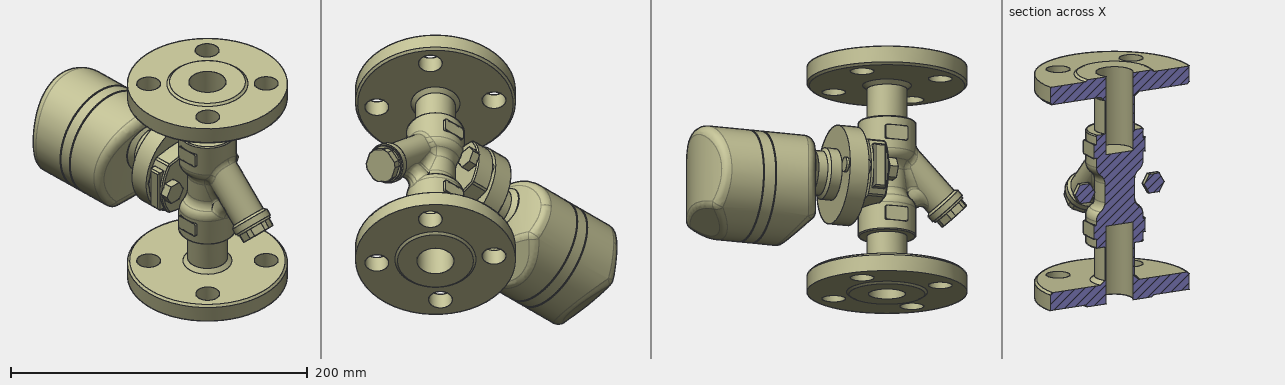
import cadquery as cq
import math


overall_length = 195.3
overall_height = 160.0
half_height = overall_height / 2
flange_dia = 108.0
flange_thickness = 12.7
flange_chamfer = 1.5
raised_face_height = 1.4
raised_face_base_dia = 54.7
raised_face_dia = 51.2
bolt_hole_dia = 16.0
bolt_circle_dia = 79.3
bolt_hole_count = 4
first_bolt_angle = 45.0
weld_neck_dia = 33.0
weld_neck_length = 2.7
pipe_dia = 27.2
bore_dia = 25.0
bore_depth = 54.7

body_dia = 39.0
body_half_height = 39.8
body_edge_chamfer = 0.8
waist_dia = 27.2
waist_half_height = 6.6
waist_center_z = -1.8
waist_blend_height = 12.3
pad_width = 15.8
pad_height = 10.0
pad_center_z = 28.3
pad_face_y = 19.7
pad_corner_radius = 1.4

branch_angle = 45.0
branch_offset = 19.3
branch_start = -branch_offset
branch_dia = 23.0
collar_dia = 27.0
collar_start = 35.7
collar_chamfer_length = 1.8
collar_end = 42.0
lip_dia = 25.0
lip_end = 43.5
plug_end = 49.0
plug_across_flats = 21.7
plug_across_corners = 22.9
branch_blend_radius = 5.5

cover_dia = 67.0
cover_left_x = -38.5
cover_right_x = -25.0
seat_left_x = -23.0
seat_right_x = -10.2
seat_dia = 65.2
seat_crown_z = 22.5
seat_crown_radius = 117.2
seat_chamfer = 1.0
hub_dia = 35.0
hub_left_x = -46.1
hub_cone_length = 1.8
neck_dia = 30.0
neck_left_x = -54.3
neck_root_dia = 36.7
stud_dia = 10.0
stud_spacing = 53.1
stud_left_x = -40.2
nut_across_flats = 13.5
nut_right_x = -4.3
label_left_x = -21.3
label_right_x = -12.7
label_height = 30.3
label_face_y = -33.8
label_chamfer = 1.2

housing_dia = 76.0
plug_tip_x = (
    (branch_offset + plug_across_corners / 2) * math.sin(math.radians(branch_angle))
    + plug_end * math.cos(math.radians(branch_angle))
)
housing_left_x = plug_tip_x - overall_length
housing_right_x = -56.3
housing_center_z = -14.0
housing_end_radius = 78.1
housing_bevel = 18.8
housing_fillet = 6.6
seam_spacing = 8.8
seam_width = 0.5
seam_depth = 0.4


def revolve_profile(plane, points):
    """Revolve (radius, length) points about the local Y axis of the plane."""
    return cq.Workplane(plane).polyline(points).close().revolve(360, (0, 0), (0, 1))


def x_rod(dia, start_x, end_x, y=0.0):
    """Round bar along X between two X positions."""
    return cq.Workplane("YZ", origin=(start_x, y, 0)).circle(dia / 2).extrude(end_x - start_x)


def hexagon(workplane, across_flats):
    return workplane.polygon(6, across_flats / math.cos(math.radians(30)))


def pipe_end():
    """Upper pipe with its weld-neck flange, without the bore."""
    face_z = half_height - raised_face_height
    back_z = face_z - flange_thickness
    flange_radius = flange_dia / 2
    end = revolve_profile("XZ", [
        (0, 0),
        (pipe_dia / 2, 0),
        (pipe_dia / 2, back_z - weld_neck_length),
        (weld_neck_dia / 2, back_z),
        (flange_radius - flange_chamfer, back_z),
        (flange_radius, back_z + flange_chamfer),
        (flange_radius, face_z),
        (raised_face_base_dia / 2, face_z),
        (raised_face_dia / 2, half_height),
        (0, half_height),
    ])
    holes = (
        cq.Workplane("XY", origin=(0, 0, back_z))
        .polarArray(bolt_circle_dia / 2, first_bolt_angle, 360, bolt_hole_count)
        .circle(bolt_hole_dia / 2)
        .extrude(flange_thickness)
    )
    return end.cut(holes)


def waisted_body():
    """Round body whose middle narrows through two tangent arcs at each side."""
    body_radius = body_dia / 2
    waist_radius = waist_dia / 2
    mid_radius = (body_radius + waist_radius) / 2
    drop = body_radius - waist_radius
    blend_radius = (waist_blend_height**2 + drop**2) / (4 * drop)
    waist_top = waist_center_z + waist_half_height
    waist_bottom = waist_center_z - waist_half_height
    half_blend = waist_blend_height / 2
    chamfered_radius = body_radius - body_edge_chamfer
    shoulder_z = body_half_height - body_edge_chamfer
    profile = (
        cq.Workplane("XZ")
        .moveTo(0, -body_half_height)
        .lineTo(chamfered_radius, -body_half_height)
        .lineTo(body_radius, -shoulder_z)
        .lineTo(body_radius, waist_bottom - waist_blend_height)
        .radiusArc((mid_radius, waist_bottom - half_blend), -blend_radius)
        .radiusArc((waist_radius, waist_bottom), blend_radius)
        .lineTo(waist_radius, waist_top)
        .radiusArc((mid_radius, waist_top + half_blend), blend_radius)
        .radiusArc((body_radius, waist_top + waist_blend_height), -blend_radius)
        .lineTo(body_radius, shoulder_z)
        .lineTo(chamfered_radius, body_half_height)
        .lineTo(0, body_half_height)
        .close()
    )
    return profile.revolve(360, (0, 0), (0, 1))


def branch_plane(distance):
    """Plane square to the branch axis, at a distance along it."""
    angle = math.radians(branch_angle)
    direction = cq.Vector(math.cos(angle), 0, -math.sin(angle))
    nearest = cq.Vector(math.sin(angle), 0, math.cos(angle)) * branch_offset
    return cq.Plane(origin=nearest + direction * distance, xDir=(0, 1, 0), normal=direction)


def branch_disc(dia, start, end):
    return cq.Workplane(branch_plane(start)).circle(dia / 2).extrude(end - start)


def branch_plug():
    """Collar, lip and hexagon plug with its corners cut flat."""
    collar = branch_disc(collar_dia, collar_start, collar_end)
    collar = collar.faces(cq.selectors.NearestToPointSelector(
        branch_plane(collar_start).origin.toTuple()
    )).chamfer(collar_chamfer_length, (collar_dia - branch_dia) / 2)
    lip = branch_disc(lip_dia, collar_end, lip_end)
    plug_length = plug_end - lip_end
    base = cq.Workplane(branch_plane(lip_end))
    turned_base = base.transformed(rotate=(0, 0, 30))
    flats = hexagon(turned_base, plug_across_flats).extrude(plug_length)
    corners = hexagon(base, plug_across_corners).extrude(plug_length)
    return collar.union(lip).union(flats.intersect(corners))


def rating_pad(side):
    """Flat-faced pad through the body axis to the front (-1) or back (1)."""
    pad = cq.Workplane("XZ").rect(pad_width, pad_height).extrude(-side * pad_face_y)
    return pad.edges("|Y").fillet(pad_corner_radius)


def bonnet_seat():
    """Flange on the body: a disc cut above and below by shallow crowns."""
    width = seat_right_x - seat_left_x
    disc = x_rod(seat_dia, seat_left_x, seat_right_x)
    crown_center = seat_crown_radius - seat_crown_z
    upper_crown = cq.Workplane("YZ", origin=(seat_left_x, 0, 0)).center(0, -crown_center)
    lower_crown = cq.Workplane("YZ", origin=(seat_left_x, 0, 0)).center(0, crown_center)
    disc = disc.intersect(upper_crown.circle(seat_crown_radius).extrude(width))
    disc = disc.intersect(lower_crown.circle(seat_crown_radius).extrude(width))
    return disc.edges("|X or >X").chamfer(seat_chamfer)


def seat_label():
    """Raised plate on the front of the bonnet seat."""
    plate = (
        cq.Workplane("XZ", origin=((label_left_x + label_right_x) / 2, 0, 0))
        .rect(label_right_x - label_left_x, label_height)
        .extrude(-label_face_y)
        .faces("<Y")
        .chamfer(label_chamfer)
    )
    seat_core = cq.Workplane("XY").box(2 * half_height, stud_spacing, 2 * half_height)
    return plate.cut(seat_core)


def bonnet_neck():
    """Hub, cover disc and the neck that flares into the actuator housing."""
    flare = (neck_root_dia - neck_dia) / 2
    neck = cq.Workplane("XZ").polyline([
        (neck_left_x - 2 * flare, 0),
        (neck_left_x - 2 * flare, neck_root_dia / 2),
        (neck_left_x - flare, neck_root_dia / 2),
        (neck_left_x, neck_dia / 2),
        (hub_left_x - hub_cone_length, neck_dia / 2),
        (hub_left_x, hub_dia / 2),
        (seat_right_x, hub_dia / 2),
        (seat_right_x, 0),
    ]).close().revolve(360, (0, 0), (1, 0))
    return neck.union(x_rod(cover_dia, cover_left_x, cover_right_x))


def stud(y):
    """Stud through the cover and seat with its hexagon nut."""
    rod = x_rod(stud_dia, stud_left_x, seat_right_x, y)
    nut = hexagon(cq.Workplane("YZ", origin=(seat_right_x, y, 0)), nut_across_flats)
    return rod.union(nut.extrude(nut_right_x - seat_right_x))


def actuator_housing():
    """Round housing with curved ends and a bevel under each end."""
    radius = housing_dia / 2
    sag = housing_end_radius - math.sqrt(housing_end_radius**2 - radius**2)
    bottom_z = housing_center_z - radius
    shape = (
        cq.Workplane("XY", origin=(0, 0, bottom_z))
        .moveTo(housing_left_x + sag, -radius)
        .lineTo(housing_right_x - sag, -radius)
        .threePointArc((housing_right_x, 0), (housing_right_x - sag, radius))
        .lineTo(housing_left_x + sag, radius)
        .threePointArc((housing_left_x, 0), (housing_left_x + sag, -radius))
        .close()
        .extrude(housing_dia)
    )
    barrel = (
        cq.Workplane("YZ", origin=(housing_left_x, 0, housing_center_z))
        .circle(radius)
        .extrude(housing_right_x - housing_left_x)
    )
    housing = barrel.intersect(shape)
    for end_x, inward in ((housing_left_x, 1), (housing_right_x, -1)):
        bevel = cq.Workplane("XZ").polyline([
            (end_x, bottom_z),
            (end_x + inward * housing_bevel, bottom_z),
            (end_x, bottom_z + housing_bevel),
        ]).close().extrude(radius, both=True)
        housing = housing.cut(bevel)
    housing = housing.edges("not |X").fillet(housing_fillet)
    middle_x = (housing_left_x + housing_right_x) / 2
    for seam_x in (middle_x - seam_spacing / 2, middle_x + seam_spacing / 2):
        seam = (
            cq.Workplane("YZ", origin=(seam_x - seam_width / 2, 0, housing_center_z))
            .circle(housing_dia)
            .circle(radius - seam_depth)
            .extrude(seam_width)
        )
        housing = housing.cut(seam)
    return housing


def end_bore():
    """Blind bore from the upper flange face down into the valve body."""
    return cq.Workplane("XY", origin=(0, 0, half_height)).circle(bore_dia / 2).extrude(-bore_depth)


result = waisted_body().union(branch_disc(branch_dia, branch_start, collar_start))
result = result.edges("%BSPLINE").fillet(branch_blend_radius)
result = result.union(branch_plug())

for pad_side in (-1, 1):
    for pad_z in (-pad_center_z, pad_center_z):
        result = result.union(rating_pad(pad_side).translate((0, 0, pad_z)))

result = result.union(bonnet_seat()).union(seat_label()).union(bonnet_neck())
for stud_y in (-stud_spacing / 2, stud_spacing / 2):
    result = result.union(stud(stud_y))
result = result.union(actuator_housing())

result = result.union(pipe_end()).union(pipe_end().mirror("XY"))
result = result.cut(end_bore()).cut(end_bore().mirror("XY"))